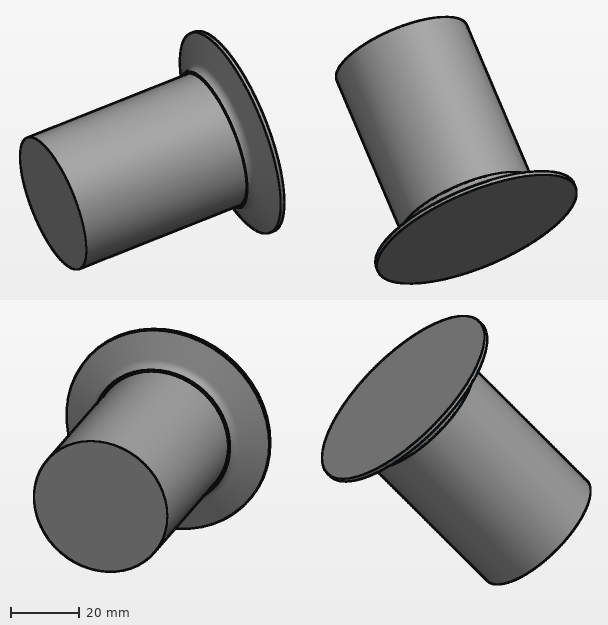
import cadquery as cq
import math

flange_radius = 31.5
rim_thickness = 1.3
cone_angle = math.radians(20)
neck_radius = 21.4
neck_fillet_radius = 2.8
shaft_radius = 20.75
total_length = 60.0

fillet_sweep = math.pi / 2 - cone_angle
fillet_center_radius = neck_radius + neck_fillet_radius


def fillet_point_radius(angle):
    """Distance from the axis of the fillet point at an angle from the neck end."""
    return fillet_center_radius - neck_fillet_radius * math.cos(angle)


cone_inner_radius = fillet_point_radius(fillet_sweep)
cone_end = rim_thickness + (flange_radius - cone_inner_radius) * math.tan(cone_angle)
neck_end = cone_end + neck_fillet_radius * math.sin(fillet_sweep)
fillet_mid_radius = fillet_point_radius(fillet_sweep / 2)
fillet_mid = neck_end - neck_fillet_radius * math.sin(fillet_sweep / 2)


def make_flanged_shaft():
    """Revolve the half profile of flange, neck and shaft about the Y axis."""
    half_profile = (
        cq.Workplane("XY")
        .moveTo(0, 0)
        .lineTo(flange_radius, 0)
        .lineTo(flange_radius, -rim_thickness)
        .lineTo(cone_inner_radius, -cone_end)
        .threePointArc((fillet_mid_radius, -fillet_mid), (neck_radius, -neck_end))
        .lineTo(shaft_radius, -neck_end)
        .lineTo(shaft_radius, -total_length)
        .lineTo(0, -total_length)
        .close()
    )
    return half_profile.revolve(360, (0, 0, 0), (0, 1, 0))


result = make_flanged_shaft()